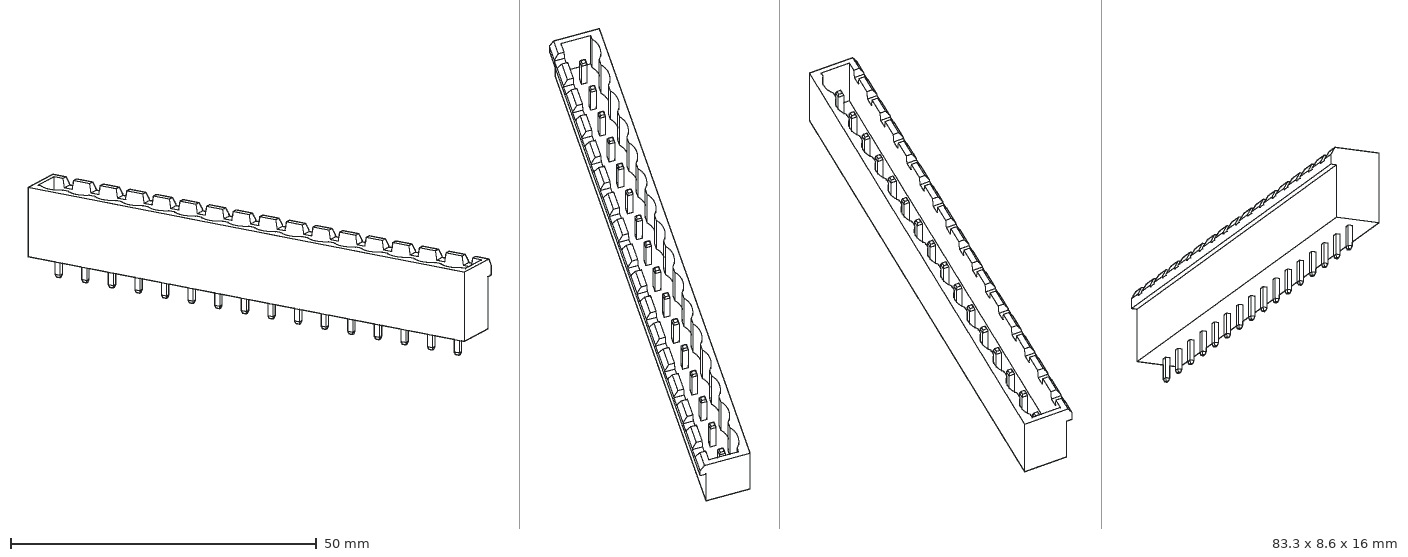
import cadquery as cq
import math

LENGTH = 83.3
BODY_DEPTH = 7.6
BODY_HEIGHT = 12.0
END_WALL = 0.8
BACK_WALL = 0.75
FRONT_WALL = 1.75
FLOOR = 2.5
CAVITY_DEPTH = BODY_HEIGHT - FLOOR

LIP_REACH = 1.0
LIP_HEIGHT = 3.0
LIP_FACE = 1.7
LIP_CREST_REACH = 0.25

PIN_COUNT = 16
PIN_PITCH = 5.1
PIN_SIZE = 1.0
TAIL_THICKNESS = 0.75
PIN_Y = 3.8
FIRST_PIN_X = (LENGTH - (PIN_COUNT - 1) * PIN_PITCH) / 2
TAIL_LENGTH = 4.0
PIN_TOP_GAP = 3.0
TIP_LENGTH = 0.5
TIP_TAPER = 0.2

SCALLOP_WIDTH = 4.0
SCALLOP_DEPTH = 0.75

NOTCH_TOP_WIDTH = 2.0
NOTCH_FLOOR_WIDTH = 1.5
NOTCH_DEPTH = 1.6

PIN_XS = [FIRST_PIN_X + i * PIN_PITCH for i in range(PIN_COUNT)]


def housing_block():
    """Solid housing with its lip, extruded from the end profile along X."""
    lip_y = BODY_DEPTH + LIP_REACH
    crest_y = BODY_DEPTH + LIP_CREST_REACH
    lip_bottom = BODY_HEIGHT - LIP_HEIGHT
    face_top = lip_bottom + LIP_FACE
    return (
        cq.Workplane("YZ")
        .lineTo(BODY_DEPTH, 0)
        .lineTo(BODY_DEPTH, lip_bottom)
        .lineTo(lip_y, lip_bottom)
        .lineTo(lip_y, face_top)
        .lineTo(crest_y, BODY_HEIGHT)
        .lineTo(0, BODY_HEIGHT)
        .close()
        .extrude(LENGTH)
    )


def cavity():
    """Open cavity whose front side has one shallow arc per pin."""
    right = LENGTH - END_WALL
    back = BODY_DEPTH - BACK_WALL
    outline = cq.Workplane("XY", origin=(0, 0, FLOOR))
    outline = outline.moveTo(END_WALL, back).lineTo(END_WALL, FRONT_WALL)
    for x in PIN_XS:
        outline = outline.lineTo(x - SCALLOP_WIDTH / 2, FRONT_WALL).threePointArc(
            (x, FRONT_WALL - SCALLOP_DEPTH), (x + SCALLOP_WIDTH / 2, FRONT_WALL)
        )
    return outline.lineTo(right, FRONT_WALL).lineTo(right, back).close().extrude(CAVITY_DEPTH)


def notch(x):
    """Flared notch through the back wall and the lip crest."""
    bottom = BODY_HEIGHT - NOTCH_DEPTH
    start = BODY_DEPTH - BACK_WALL
    return (
        cq.Workplane("XZ", origin=(x, start, 0))
        .moveTo(-NOTCH_FLOOR_WIDTH / 2, bottom)
        .lineTo(NOTCH_FLOOR_WIDTH / 2, bottom)
        .lineTo(NOTCH_TOP_WIDTH / 2, BODY_HEIGHT)
        .lineTo(-NOTCH_TOP_WIDTH / 2, BODY_HEIGHT)
        .close()
        .extrude(-(BACK_WALL + LIP_REACH))
    )


def tapered_post(x, thickness, root_z, end_z):
    """Rectangular post from root_z to a tapered tip at end_z, above or below the root."""
    direction = math.copysign(1, end_z - root_z)
    shank_length = abs(end_z - root_z) - TIP_LENGTH
    return (
        cq.Workplane("XY", origin=(x, PIN_Y, root_z))
        .rect(PIN_SIZE, thickness)
        .extrude(direction * shank_length)
        .union(
            cq.Workplane("XY", origin=(x, PIN_Y, root_z + direction * shank_length))
            .rect(PIN_SIZE, thickness)
            .workplane(offset=direction * TIP_LENGTH)
            .rect(PIN_SIZE - 2 * TIP_TAPER, thickness - 2 * TIP_TAPER)
            .loft(ruled=True)
        )
    )


def pin(x):
    """Contact post rising through the floor and solder tail below the housing."""
    contact = tapered_post(x, PIN_SIZE, 0, BODY_HEIGHT - PIN_TOP_GAP)
    tail = tapered_post(x, TAIL_THICKNESS, 0, -TAIL_LENGTH)
    return contact.union(tail)


result = housing_block().cut(cavity())
for pin_x in PIN_XS:
    result = result.cut(notch(pin_x)).union(pin(pin_x))